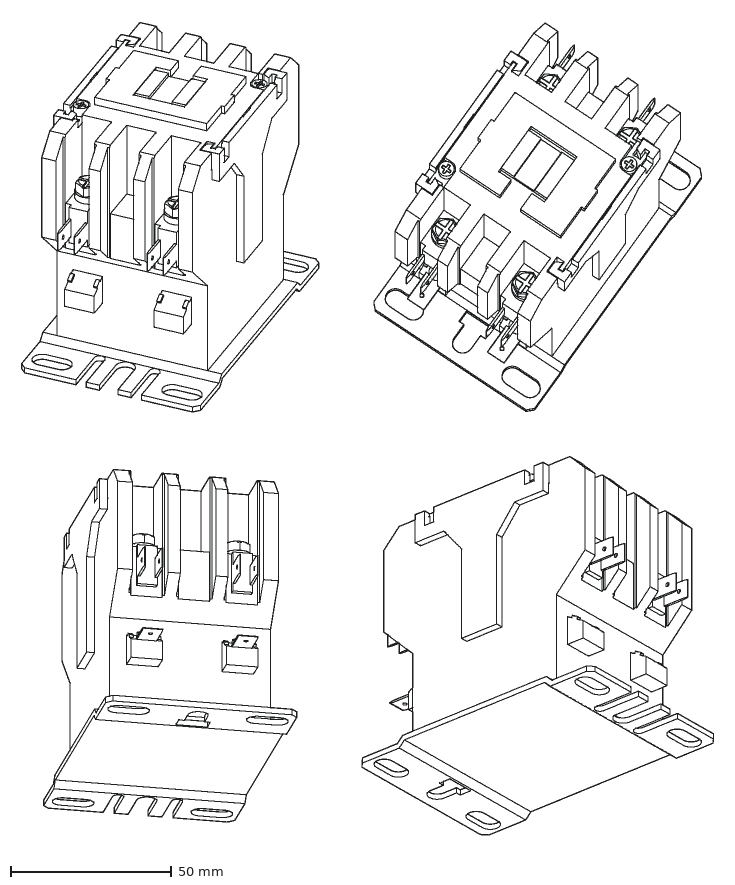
import cadquery as cq
import math

PLATE_WIDTH = 61.0
PLATE_LENGTH = 95.4
PLATE_THICKNESS = 1.9
PLATE_RISE = 2.15
PLATE_BEND_TOP = 31.6
PLATE_BEND_UNDERSIDE = 30.8
PLATE_CORNER = 1.9
SLOT_WIDTH = 6.35
SLOT_LENGTH = 13.1
SLOT_X = 22.15
SLOT_Y = 41.1
SIDE_NOTCH_WIDTH = 3.5
SIDE_NOTCH_X = 9.4
NOTCH_END_Y = 31.7
CENTER_SLOT_TOP_Y = 44.3
CENTER_RELIEF_WIDTH = 10.0
CENTER_RELIEF_Y = 35.9

BODY_HALF_X = 25.7
BASE_HALF_Y = 29.4
HEAD_HALF_Y = 41.2
BODY_BOTTOM_Z = PLATE_RISE + PLATE_THICKNESS
FLARE_Z = 35.2
BODY_TOP_Z = 82.45
HEAD_CHAMFER = 6.3

BAY_PITCH = 15.2
BAY_WIDTH = 10.05
BAY_BACK_Y = 22.25
SHELF_FRONT_Y = 35.0
WALL_STEP_Y = 35.6
SHELF_Z = 57.2
WALL_RELIEF = 0.65

TERMINAL_WIDTH = 6.3
TERMINAL_FRONT_Y = 36.75
TERMINAL_BOTTOM_Z = 44.2
SPADE_THICKNESS = 0.75
SPADE_HEIGHT = 6.3
SPADE_CENTER_Z = 49.85
SPADE_TIP_Y = 46.1
SPADE_BEVEL = 1.5
SPADE_TIP_THICKNESS = 0.2
SPADE_HOLE_Y = 42.8
SPADE_HOLE_DIAMETER = 1.27

SCREW_Y = 28.5
WASHER_DIAMETER = 8.89
WASHER_HEIGHT = 2.3
HEX_FLATS = 7.27
HEX_HEIGHT = 3.5
HEX_TOP_DIAMETER = 6.4
HEX_BEVEL_SLOPE = math.radians(25)
CROSS_WIDTH = 1.2
CROSS_DEPTH = 0.6

COIL_FRONT_Y = 35.75
COIL_BOTTOM_Z = 19.8
COIL_FRONT_TOP_Z = 26.0
COIL_SLOPE = 30.0
NUB_WIDTH = 1.25
NUB_LENGTH = 2.6
NUB_HEIGHT = 0.8
NUB_CENTER_Y = 32.1
COIL_SCREW_DIAMETER = 5.08
COIL_SCREW_HEIGHT = 1.5
COIL_SCREW_Y = 32.7
COIL_SPADE_Z = 25.9
COIL_SPADE_TIP_Y = 45.0
COIL_SPADE_HOLE_Y = 41.5

COVER_TOP_Z = 85.1
COVER_HALF_X = 19.1
COVER_HALF_Y = 15.15
COVER_TAB_HALF_X = 20.2
COVER_TAB_HALF_Y = 3.7
WINDOW_HALF_X = 8.7
WINDOW_HALF_Y = 8.9
CHANNEL_HALF_X = 3.9
INSERT_HALF_Y = 7.5
INSERT_TOP_Z = 84.9
INSERT_CENTER_Z = 83.8

CLIP_OUTER_X = 28.25
CLIP_HALF_Y = 26.15
CLIP_SHOULDER_Z = 72.4
CLIP_SHOULDER_Y = 14.5
CLIP_STEM_HALF_Y = 7.2
CLIP_STEM_TOP_Z = 63.5
CLIP_BOTTOM_Z = 31.6
CLIP_NOTCH_NEAR_Y = 18.6
CLIP_NOTCH_FAR_Y = 22.35
CLIP_NOTCH_Z = 77.2
CLIP_GAP = 0.2
CLIP_GAP_DEPTH = 1.0
CLIP_MIDDLE_GAP = 0.45
CLIP_MIDDLE_GAP_HALF_Y = 2.7
HOOK_POCKET_X = 21.7
HOOK_POCKET_NEAR_Y = 20.8
HOOK_POCKET_FAR_Y = 26.4
HOOK_POCKET_Z = 76.1
HOOK_INNER_X = 22.0
HOOK_LEG_X = 24.25
HOOK_BAR_Y = 23.8
HOOK_TIP_Y = 21.2
HOOK_TIP_BEVEL = 1.3

RECESS_X = BAY_PITCH + BAY_WIDTH / 2
RECESS_NEAR_Y = 14.1
RECESS_CORNER_DIAMETER = 5.08
RECESS_DEEP_FAR_Y = 25.3
RECESS_Z = 79.5
COVER_SCREW_X = 23.0
COVER_SCREW_Y = 16.85
COVER_SCREW_DIAMETER = 4.83
COVER_SCREW_TOP_Z = BODY_TOP_Z
COVER_CROSS_LENGTH = 3.1
COVER_CROSS_WIDTH = 0.8

BOTH = (-1, 1)


def box(x0, x1, y0, y1, z0, z1):
    """Box between two opposite corners, in any order."""
    size = (abs(x1 - x0), abs(y1 - y0), abs(z1 - z0))
    center = ((x0 + x1) / 2, (y0 + y1) / 2, (z0 + z1) / 2)
    return cq.Workplane("XY").box(*size).translate(center)


def cylinder(x, y, z0, z1, diameter):
    """Upright cylinder between two heights."""
    return cq.Workplane("XY", origin=(x, y, z0)).circle(diameter / 2).extrude(z1 - z0)


def extrude_yz(points, x0, x1):
    """Prism along X from an outline in the YZ plane."""
    return cq.Workplane("YZ", origin=(x0, 0, 0)).polyline(points).close().extrude(x1 - x0)


def mirrored_outline(half):
    """Close a right-hand half outline with its mirror image."""
    return half + [(-u, v) for u, v in reversed(half)]


def cross(x, y, z, length, width, depth):
    """Cross recess cutter whose top is at height z."""
    along_x = box(x - length / 2, x + length / 2, y - width / 2, y + width / 2, z - depth, z)
    along_y = box(x - width / 2, x + width / 2, y - length / 2, y + length / 2, z - depth, z)
    return along_x.union(along_y)


def mounting_plate():
    half = [
        (BASE_HALF_Y, BODY_BOTTOM_Z),
        (PLATE_BEND_TOP, PLATE_THICKNESS),
        (PLATE_LENGTH / 2, PLATE_THICKNESS),
        (PLATE_LENGTH / 2, 0),
        (PLATE_BEND_UNDERSIDE, 0),
        (PLATE_BEND_UNDERSIDE - PLATE_RISE, PLATE_RISE),
    ]
    plate = extrude_yz(mirrored_outline(half), -PLATE_WIDTH / 2, PLATE_WIDTH / 2)
    plate = plate.edges("|Z").edges("<Y or >Y").chamfer(PLATE_CORNER)

    corner_slots = (
        cq.Workplane("XY")
        .rect(2 * SLOT_X, 2 * SLOT_Y, forConstruction=True)
        .vertices()
        .slot2D(SLOT_LENGTH, SLOT_WIDTH)
        .extrude(BODY_BOTTOM_Z)
    )
    plate = plate.cut(corner_slots)

    notches = ((-SIDE_NOTCH_X, SIDE_NOTCH_WIDTH), (0, SLOT_WIDTH), (SIDE_NOTCH_X, SIDE_NOTCH_WIDTH))
    for x, width in notches:
        center_y = -NOTCH_END_Y - width / 2
        plate = plate.cut(cylinder(x, center_y, 0, BODY_BOTTOM_Z, width))
        plate = plate.cut(box(x - width / 2, x + width / 2, -PLATE_LENGTH / 2, center_y, 0, BODY_BOTTOM_Z))

    arc_y = CENTER_SLOT_TOP_Y - SLOT_WIDTH / 2
    relief_half = CENTER_RELIEF_WIDTH / 2
    plate = plate.cut(cylinder(0, arc_y, 0, BODY_BOTTOM_Z, SLOT_WIDTH))
    plate = plate.cut(box(-SLOT_WIDTH / 2, SLOT_WIDTH / 2, CENTER_RELIEF_Y, arc_y, 0, BODY_BOTTOM_Z))
    return plate.cut(box(-relief_half, relief_half, NOTCH_END_Y, CENTER_RELIEF_Y, 0, BODY_BOTTOM_Z))


def housing():
    half = [
        (BASE_HALF_Y, BODY_BOTTOM_Z),
        (BASE_HALF_Y, FLARE_Z),
        (HEAD_HALF_Y, FLARE_Z + HEAD_HALF_Y - BASE_HALF_Y),
        (HEAD_HALF_Y, BODY_TOP_Z - HEAD_CHAMFER),
        (HEAD_HALF_Y - HEAD_CHAMFER, BODY_TOP_Z),
    ]
    body = extrude_yz(mirrored_outline(half), -BODY_HALF_X, BODY_HALF_X)
    for x in (-BAY_PITCH, 0, BAY_PITCH):
        for side in BOTH:
            body = body.cut(terminal_bay(x, side))
    return body


def terminal_bay(x, side):
    """Cutter for one bay: open above its shelf and in front of it, wider near its mouth."""
    half = BAY_WIDTH / 2
    wide = half + WALL_RELIEF
    above_shelf = box(x - half, x + half, side * BAY_BACK_Y, side * HEAD_HALF_Y, SHELF_Z, BODY_TOP_Z)
    front = box(x - half, x + half, side * SHELF_FRONT_Y, side * HEAD_HALF_Y, FLARE_Z, BODY_TOP_Z)
    relief = box(x - wide, x + wide, side * WALL_STEP_Y, side * HEAD_HALF_Y, FLARE_Z, BODY_TOP_Z)
    return above_shelf.union(front).union(relief)


def power_terminal(x, side):
    """Terminal block with two spades that point outward."""
    half = TERMINAL_WIDTH / 2
    terminal = box(x - half, x + half, side * BAY_BACK_Y, side * TERMINAL_FRONT_Y, TERMINAL_BOTTOM_Z, SHELF_Z)
    bevel_y = SPADE_TIP_Y - SPADE_BEVEL
    for edge in BOTH:
        spade_x = x + edge * (half - SPADE_THICKNESS / 2)
        outline = [
            (spade_x - SPADE_THICKNESS / 2, side * SHELF_FRONT_Y),
            (spade_x - SPADE_THICKNESS / 2, side * bevel_y),
            (spade_x - SPADE_TIP_THICKNESS / 2, side * SPADE_TIP_Y),
            (spade_x + SPADE_TIP_THICKNESS / 2, side * SPADE_TIP_Y),
            (spade_x + SPADE_THICKNESS / 2, side * bevel_y),
            (spade_x + SPADE_THICKNESS / 2, side * SHELF_FRONT_Y),
        ]
        spade = (
            cq.Workplane("XY", origin=(0, 0, SPADE_CENTER_Z - SPADE_HEIGHT / 2))
            .polyline(outline)
            .close()
            .extrude(SPADE_HEIGHT)
        )
        hole = (
            cq.Workplane("YZ", origin=(spade_x, side * SPADE_HOLE_Y, SPADE_CENTER_Z))
            .circle(SPADE_HOLE_DIAMETER / 2)
            .extrude(SPADE_THICKNESS, both=True)
        )
        terminal = terminal.union(spade.cut(hole))
    return terminal


def terminal_screw(x, y):
    """Hexagonal washer-head screw with a beveled top and a cross recess."""
    head_z = SHELF_Z + WASHER_HEIGHT
    top_z = head_z + HEX_HEIGHT
    corner_diameter = HEX_FLATS / math.cos(math.pi / 6)
    head = (
        cq.Workplane("XY", origin=(x, y, head_z))
        .transformed(rotate=(0, 0, 90))
        .polygon(6, corner_diameter)
        .extrude(HEX_HEIGHT)
    )
    bevel_inset = (corner_diameter - HEX_TOP_DIAMETER) / 2
    bevel_drop = bevel_inset * math.tan(HEX_BEVEL_SLOPE)
    bevel_envelope = (
        cylinder(x, y, head_z, top_z, corner_diameter)
        .faces(">Z")
        .chamfer(bevel_drop, bevel_inset)
    )
    head = head.intersect(bevel_envelope)
    head = head.cut(cross(x, y, top_z, HEX_FLATS, CROSS_WIDTH, CROSS_DEPTH))
    return cylinder(x, y, SHELF_Z, head_z, WASHER_DIAMETER).union(head)


def coil_slope_z(y):
    """Height of the sloping coil terminal top at distance y from the center."""
    return COIL_FRONT_TOP_Z + (COIL_FRONT_Y - y) * math.tan(math.radians(COIL_SLOPE))


def coil_terminal(x, side):
    """Sloped block with two nubs at the edges of its slope."""
    half = BAY_WIDTH / 2
    outline = [
        (side * BASE_HALF_Y, COIL_BOTTOM_Z),
        (side * COIL_FRONT_Y, COIL_BOTTOM_Z),
        (side * COIL_FRONT_Y, COIL_FRONT_TOP_Z),
        (side * BASE_HALF_Y, coil_slope_z(BASE_HALF_Y)),
    ]
    block = extrude_yz(outline, x - half, x + half)
    for edge in BOTH:
        nub = (
            cq.Workplane("XY")
            .box(NUB_WIDTH, NUB_LENGTH, 2 * NUB_HEIGHT)
            .rotate((0, 0, 0), (1, 0, 0), -side * COIL_SLOPE)
            .translate((x + edge * (half - NUB_WIDTH / 2), side * NUB_CENTER_Y, coil_slope_z(NUB_CENTER_Y)))
        )
        block = block.union(nub)
    return block


def coil_spade(x):
    """Flat spade and its screw head on the +Y coil terminal."""
    half = TERMINAL_WIDTH / 2
    spade = box(x - half, x + half, BASE_HALF_Y, COIL_SPADE_TIP_Y, COIL_SPADE_Z, COIL_SPADE_Z + SPADE_THICKNESS)
    spade = spade.faces(">Y").edges("|X").chamfer(
        (SPADE_THICKNESS - SPADE_TIP_THICKNESS) / 2, SPADE_BEVEL
    )
    spade = spade.cut(
        cylinder(x, COIL_SPADE_HOLE_Y, COIL_SPADE_Z, COIL_SPADE_Z + SPADE_THICKNESS, SPADE_HOLE_DIAMETER)
    )
    screw = (
        cylinder(0, 0, -COIL_SCREW_HEIGHT, COIL_SCREW_HEIGHT, COIL_SCREW_DIAMETER)
        .rotate((0, 0, 0), (1, 0, 0), -COIL_SLOPE)
        .translate((x, COIL_SCREW_Y, coil_slope_z(COIL_SCREW_Y)))
    )
    return spade.union(screw)


def cover():
    """Raised plate with a window, an open channel and a stepped insert."""
    z0 = BODY_TOP_Z
    plate = box(-COVER_HALF_X, COVER_HALF_X, -COVER_HALF_Y, COVER_HALF_Y, z0, COVER_TOP_Z)
    tabs = box(-COVER_TAB_HALF_X, COVER_TAB_HALF_X, -COVER_TAB_HALF_Y, COVER_TAB_HALF_Y, z0, COVER_TOP_Z)
    window = box(-WINDOW_HALF_X, WINDOW_HALF_X, -WINDOW_HALF_Y, WINDOW_HALF_Y, z0, COVER_TOP_Z)
    channel = box(-CHANNEL_HALF_X, CHANNEL_HALF_X, 0, COVER_HALF_Y, z0, COVER_TOP_Z)
    insert = box(-WINDOW_HALF_X, WINDOW_HALF_X, -INSERT_HALF_Y, INSERT_HALF_Y, z0, INSERT_TOP_Z)
    groove = box(-CHANNEL_HALF_X, CHANNEL_HALF_X, -INSERT_HALF_Y, INSERT_HALF_Y, INSERT_CENTER_Z, INSERT_TOP_Z)
    return plate.union(tabs).cut(window).cut(channel).union(insert.cut(groove))


def side_clip():
    """T-shaped plate on the +X side, hooked at both ends and set off along its top edge."""
    half = [
        (CLIP_STEM_HALF_Y, CLIP_BOTTOM_Z),
        (CLIP_STEM_HALF_Y, CLIP_STEM_TOP_Z),
        (CLIP_SHOULDER_Y, CLIP_SHOULDER_Z),
        (CLIP_HALF_Y, CLIP_SHOULDER_Z),
        (CLIP_HALF_Y, BODY_TOP_Z),
    ]
    clip = extrude_yz(mirrored_outline(half), BODY_HALF_X, CLIP_OUTER_X)
    gaps = ((CLIP_GAP, HOOK_BAR_Y), (CLIP_MIDDLE_GAP, CLIP_MIDDLE_GAP_HALF_Y))
    for width, half_y in gaps:
        clip = clip.cut(
            box(BODY_HALF_X, BODY_HALF_X + width, -half_y, half_y, BODY_TOP_Z - CLIP_GAP_DEPTH, BODY_TOP_Z)
        )
    for side in BOTH:
        notch = box(
            BODY_HALF_X, CLIP_OUTER_X,
            side * CLIP_NOTCH_NEAR_Y, side * CLIP_NOTCH_FAR_Y,
            CLIP_NOTCH_Z, BODY_TOP_Z,
        )
        hook_outline = [
            (CLIP_OUTER_X, side * CLIP_HALF_Y),
            (HOOK_INNER_X, side * CLIP_HALF_Y),
            (HOOK_INNER_X, side * (HOOK_TIP_Y + HOOK_TIP_BEVEL)),
            (HOOK_LEG_X, side * HOOK_TIP_Y),
            (HOOK_LEG_X, side * HOOK_BAR_Y),
            (CLIP_OUTER_X, side * HOOK_BAR_Y),
        ]
        hook = (
            cq.Workplane("XY", origin=(0, 0, HOOK_POCKET_Z))
            .polyline(hook_outline)
            .close()
            .extrude(BODY_TOP_Z - HOOK_POCKET_Z)
        )
        clip = clip.cut(notch).union(hook)
    return clip


def hook_pocket(side):
    """Pocket in the +X edge of the housing for a clip hook, around the post inside the hook."""
    far_y = side * HOOK_POCKET_FAR_Y
    post_x = HOOK_LEG_X + CLIP_GAP
    post_y = HOOK_BAR_Y - CLIP_GAP
    leg = box(HOOK_POCKET_X, post_x, side * HOOK_POCKET_NEAR_Y, far_y, HOOK_POCKET_Z, BODY_TOP_Z)
    bar = box(HOOK_POCKET_X, BODY_HALF_X, side * post_y, far_y, HOOK_POCKET_Z, BODY_TOP_Z)
    return leg.union(bar)


def screw_recess(far_y):
    """Recess at the +X +Y corner of the housing top; it also lowers the post inside the hook."""
    recess = box(RECESS_X, BODY_HALF_X, RECESS_NEAR_Y, far_y, RECESS_Z, BODY_TOP_Z)
    recess = recess.edges("|Z and <X and <Y").fillet(RECESS_CORNER_DIAMETER / 2)
    post_top = box(HOOK_LEG_X, BODY_HALF_X, RECESS_NEAR_Y, HOOK_BAR_Y, RECESS_Z, BODY_TOP_Z)
    return recess.union(post_top)


def cover_screw():
    screw = cylinder(COVER_SCREW_X, COVER_SCREW_Y, RECESS_Z, COVER_SCREW_TOP_Z, COVER_SCREW_DIAMETER)
    return screw.cut(
        cross(
            COVER_SCREW_X, COVER_SCREW_Y, COVER_SCREW_TOP_Z,
            COVER_CROSS_LENGTH, COVER_CROSS_WIDTH, CROSS_DEPTH,
        )
    )


def half_turn(shape):
    """Shape turned 180 degrees about the Z axis."""
    return shape.rotate((0, 0, 0), (0, 0, 1), 180)


result = housing()
for side in BOTH:
    result = result.cut(hook_pocket(side)).cut(half_turn(hook_pocket(side)))
result = result.cut(screw_recess(BAY_BACK_Y))
result = result.cut(half_turn(screw_recess(RECESS_DEEP_FAR_Y)))

result = result.union(mounting_plate()).union(cover())
result = result.union(side_clip()).union(half_turn(side_clip()))
result = result.union(cover_screw()).union(half_turn(cover_screw()))

for x in (-BAY_PITCH, BAY_PITCH):
    for side in BOTH:
        result = result.union(power_terminal(x, side))
        result = result.union(terminal_screw(x, side * SCREW_Y))
        result = result.union(coil_terminal(x, side))
    result = result.union(coil_spade(x))